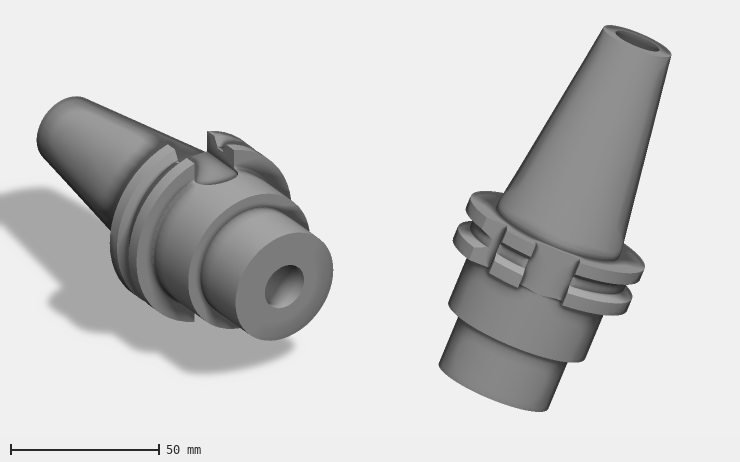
import cadquery as cq
import math

TAPER_LENGTH = 68.4
COLLAR_STEP_X = 1.6
FLANGE_START_X = 3.2
FLANGE_END_X = 19.1
BODY_END_X = 40.0
NOSE_END_X = 60.9

GAUGE_RADIUS = 44.45 / 2
TAPER_SMALL_RADIUS = 12.4
COLLAR_RADIUS = 22.4
FLANGE_RADIUS = 63.55 / 2
BODY_RADIUS = 25.0
NOSE_RADIUS = 20.0
BORE_RADIUS = 8.0
BODY_FILLET = 1.0

GROOVE_CENTER_X = 11.0
GROOVE_FLOOR_WIDTH = 3.5
GROOVE_FLOOR_RADIUS = 56.25 / 2
GROOVE_WALL_FOOT_RADIUS = 28.75
GROOVE_WALL_ANGLE = 30.0

SLOT_WIDTH = 16.1
SLOT_ROUND_CENTER_X = FLANGE_END_X
TOP_SLOT_FLOOR = 22.8
BOTTOM_SLOT_FLOOR = 25.0
NOTCH_OFFSET = 18.5


def turned_shank():
    """Taper, collar, flange blank, body and nose as one solid of revolution."""
    return (
        cq.Workplane("XY")
        .moveTo(-TAPER_LENGTH, 0)
        .lineTo(-TAPER_LENGTH, TAPER_SMALL_RADIUS)
        .lineTo(0, GAUGE_RADIUS)
        .lineTo(COLLAR_STEP_X, COLLAR_RADIUS)
        .lineTo(FLANGE_START_X, COLLAR_RADIUS)
        .lineTo(FLANGE_START_X, FLANGE_RADIUS)
        .lineTo(FLANGE_END_X, FLANGE_RADIUS)
        .lineTo(FLANGE_END_X, BODY_RADIUS + BODY_FILLET)
        .radiusArc((FLANGE_END_X + BODY_FILLET, BODY_RADIUS), -BODY_FILLET)
        .lineTo(BODY_END_X, BODY_RADIUS)
        .lineTo(BODY_END_X, NOSE_RADIUS)
        .lineTo(NOSE_END_X, NOSE_RADIUS)
        .lineTo(NOSE_END_X, 0)
        .close()
        .revolve(360, (0, 0, 0), (1, 0, 0))
    )


def gripper_groove():
    """Ring with sloping walls above a short straight-sided floor."""
    half_floor = GROOVE_FLOOR_WIDTH / 2
    wall_run = (FLANGE_RADIUS - GROOVE_WALL_FOOT_RADIUS) * math.tan(math.radians(GROOVE_WALL_ANGLE))
    half_mouth = half_floor + wall_run
    left_floor_x = GROOVE_CENTER_X - half_floor
    right_floor_x = GROOVE_CENTER_X + half_floor
    return (
        cq.Workplane("XY")
        .moveTo(left_floor_x, GROOVE_FLOOR_RADIUS)
        .lineTo(right_floor_x, GROOVE_FLOOR_RADIUS)
        .lineTo(right_floor_x, GROOVE_WALL_FOOT_RADIUS)
        .lineTo(GROOVE_CENTER_X + half_mouth, FLANGE_RADIUS)
        .lineTo(GROOVE_CENTER_X - half_mouth, FLANGE_RADIUS)
        .lineTo(left_floor_x, GROOVE_WALL_FOOT_RADIUS)
        .close()
        .revolve(360, (0, 0, 0), (1, 0, 0))
    )


def drive_slot(floor_height):
    """Round-ended slot on the +Z side, open at the flange's taper-side face."""
    half_width = SLOT_WIDTH / 2
    return (
        cq.Workplane("XY", origin=(0, 0, floor_height))
        .moveTo(FLANGE_START_X, -half_width)
        .lineTo(SLOT_ROUND_CENTER_X, -half_width)
        .threePointArc((SLOT_ROUND_CENTER_X + half_width, 0), (SLOT_ROUND_CENTER_X, half_width))
        .lineTo(FLANGE_START_X, half_width)
        .close()
        .extrude(FLANGE_RADIUS - floor_height)
    )


def orientation_notch():
    """Square corner notch through the flange on its +Y, -Z side."""
    flange_width = FLANGE_END_X - FLANGE_START_X
    size = FLANGE_RADIUS - NOTCH_OFFSET
    return cq.Workplane("XY").box(flange_width, size, size, centered=False).translate(
        (FLANGE_START_X, NOTCH_OFFSET, -FLANGE_RADIUS)
    )


def through_bore():
    """Plain bore along the whole axis."""
    return (
        cq.Workplane("YZ", origin=(-TAPER_LENGTH, 0, 0))
        .circle(BORE_RADIUS)
        .extrude(TAPER_LENGTH + NOSE_END_X)
    )


top_slot = drive_slot(TOP_SLOT_FLOOR)
bottom_slot = drive_slot(BOTTOM_SLOT_FLOOR).rotate((0, 0, 0), (1, 0, 0), 180)

result = (
    turned_shank()
    .cut(gripper_groove())
    .cut(top_slot)
    .cut(bottom_slot)
    .cut(orientation_notch())
    .cut(through_bore())
)